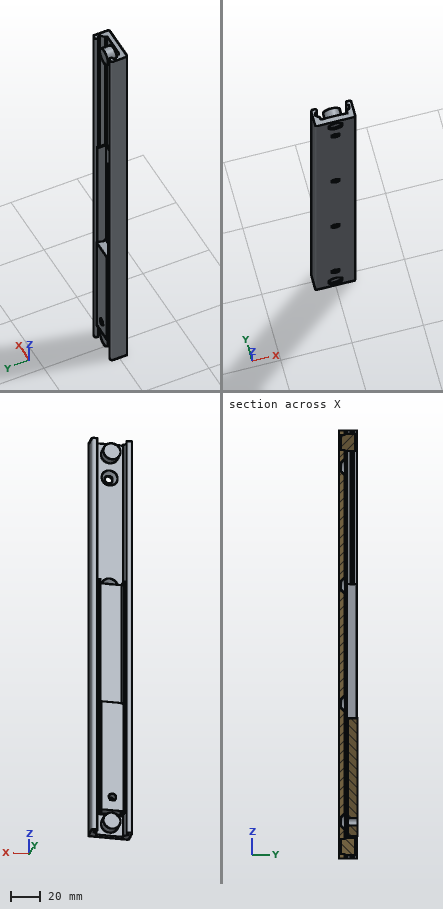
import cadquery as cq

rail_length = 290
rail_width = 28.0
rail_depth = 12.5
floor_thickness = 4.0
corner_radius = 1.2
lip_radius = 1.5
lip_half_gap = 10.2

floor_half_width = 9.3

race_half_width = 12.0
race_low = 5.5
race_high = 10.5
race_flat_low = 7.8
race_flat_high = 9.3

hole_diameter = 5.5
sink_diameter = 11.0
hole_pitch = 80.0
hole_count = 4

stop_inset = 8.0
pin_diameter = 10.0
pin_recess = 1.2
head_diameter = 12.0
head_height = 7.0

slider_length = 80.0
slider_half_width = 7.5
slider_bottom = 6.0
slider_top = 12.8
groove_y = 8.5
groove_height = 4.0
groove_depth = 1.0
slider_hole_diameter = 5.0
slider_hole_inset = 10.0

cage_length = 170.8
cage_half_width = 9.0
cage_bottom = 4.4
cage_top = 12.0
cage_web = 1.2
cage_leg = 1.0
cage_end_chamfer = 1.0

hole_heights = [(i - (hole_count - 1) / 2) * hole_pitch for i in range(hole_count)]
stop_heights = [side * (rail_length / 2 - stop_inset) for side in (-1, 1)]
slider_hole_height = hole_heights[0]
slider_end = slider_hole_height - slider_hole_inset


def rod(diameter, y_start, y_end, z):
    """A cylinder along +Y on the centre plane at height z."""
    circle = cq.Workplane("XZ", origin=(0, y_start, z)).circle(diameter / 2)
    return circle.extrude(y_start - y_end)


def make_countersink(z):
    """A 90 degree cone that narrows from the channel side of the floor to the mounting hole."""
    depth = (sink_diameter - hole_diameter) / 2
    rim = cq.Workplane("XZ", origin=(0, floor_thickness, z)).circle(sink_diameter / 2)
    return rim.workplane(offset=depth).circle(hole_diameter / 2).loft()


def make_rail():
    half_width = rail_width / 2
    outline = (
        cq.Workplane("XY", origin=(0, 0, -rail_length / 2))
        .moveTo(-half_width, 0)
        .lineTo(half_width, 0)
        .lineTo(half_width, rail_depth)
        .lineTo(lip_half_gap, rail_depth)
        .lineTo(lip_half_gap, race_high)
        .lineTo(race_half_width, race_flat_high)
        .lineTo(race_half_width, race_flat_low)
        .lineTo(floor_half_width, race_low)
        .lineTo(floor_half_width, floor_thickness)
        .lineTo(-floor_half_width, floor_thickness)
        .lineTo(-floor_half_width, race_low)
        .lineTo(-race_half_width, race_flat_low)
        .lineTo(-race_half_width, race_flat_high)
        .lineTo(-lip_half_gap, race_high)
        .lineTo(-lip_half_gap, rail_depth)
        .lineTo(-half_width, rail_depth)
        .close()
    )
    rail = outline.extrude(rail_length)
    rail = rail.edges("|Z and <Y").fillet(corner_radius)
    rail = rail.edges("|Z and >Y").fillet(lip_radius)

    for z in hole_heights:
        rail = rail.cut(rod(hole_diameter, 0, floor_thickness, z))
        rail = rail.cut(make_countersink(z))
    for z in stop_heights:
        rail = rail.cut(rod(pin_diameter, 0, floor_thickness, z))
    return rail


def make_end_stop(z):
    pin = rod(pin_diameter, pin_recess, floor_thickness, z)
    head = rod(head_diameter, floor_thickness, floor_thickness + head_height, z)
    return pin.union(head)


def make_slider():
    groove_low = groove_y - groove_height / 2
    groove_high = groove_y + groove_height / 2
    groove_x = slider_half_width - groove_depth

    outline = (
        cq.Workplane("XY", origin=(0, 0, slider_end))
        .moveTo(-slider_half_width, slider_bottom)
        .lineTo(slider_half_width, slider_bottom)
        .lineTo(slider_half_width, groove_low)
        .threePointArc((groove_x, groove_y), (slider_half_width, groove_high))
        .lineTo(slider_half_width, slider_top)
        .lineTo(-slider_half_width, slider_top)
        .lineTo(-slider_half_width, groove_high)
        .threePointArc((-groove_x, groove_y), (-slider_half_width, groove_low))
        .close()
    )
    slider = outline.extrude(slider_length)
    return slider.cut(rod(slider_hole_diameter, slider_bottom, slider_top, slider_hole_height))


def make_cage():
    inner_half_width = cage_half_width - cage_leg
    web_top = cage_bottom + cage_web

    outline = (
        cq.Workplane("XY", origin=(0, 0, slider_end))
        .moveTo(-cage_half_width, cage_bottom)
        .lineTo(cage_half_width, cage_bottom)
        .lineTo(cage_half_width, cage_top)
        .lineTo(inner_half_width, cage_top)
        .lineTo(inner_half_width, web_top)
        .lineTo(-inner_half_width, web_top)
        .lineTo(-inner_half_width, cage_top)
        .lineTo(-cage_half_width, cage_top)
        .close()
    )
    cage = outline.extrude(cage_length)
    cage = cage.faces("<Y").edges(">Z").chamfer(cage_end_chamfer)
    return cage.cut(rod(slider_hole_diameter, cage_bottom, web_top, slider_hole_height))


rail = make_rail()
slider = make_slider()
cage = make_cage()
end_stops = [make_end_stop(z) for z in stop_heights]

result = cq.Compound.makeCompound(
    [rail.val(), slider.val(), cage.val(), *[stop.val() for stop in end_stops]]
)